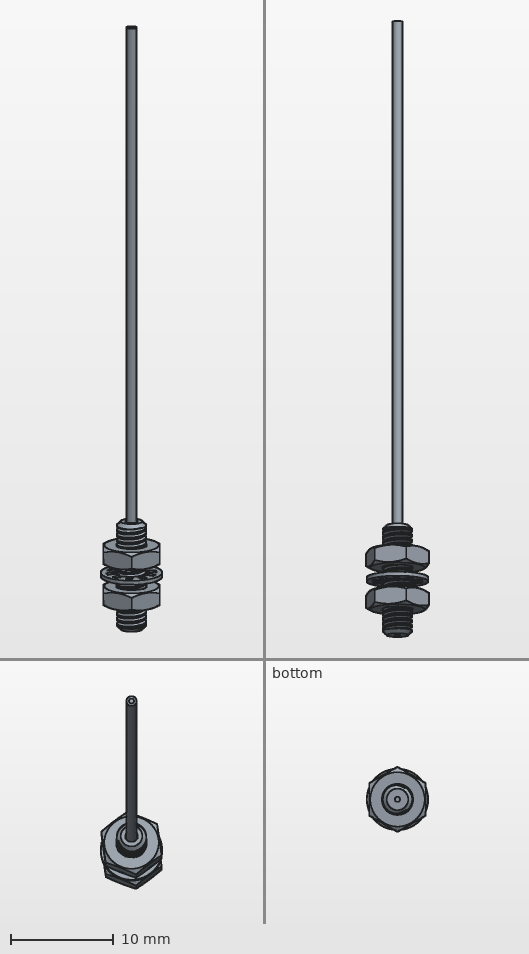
import cadquery as cq
import math

sleeve_top = 11.0
thread_diameter = 2.9
thread_pitch = 0.5
thread_depth = 0.307
flank_angle = 30.0
sleeve_chamfer = 0.4
spare_turns = 2

cable_top = 61.0
core_diameter = 0.5
core_tip = 0.1
jacket_diameter = 1.0
jacket_bottom = 3.0
jacket_bore_diameter = 1.2

nut_width = 5.5
nut_height = 1.8
nut_bore_diameter = 3.0
nut_face_diameter = 5.3
nut_chamfer_angle = 30.0

washer_diameter = 6.0
washer_bore_diameter = 3.0
washer_thickness = 0.4
tooth_count = 10
tooth_gap_width = 0.6
tooth_root_radius = 2.45

stack_gap = 0.975
lower_nut_seat = 2.65
washer_seat = lower_nut_seat + nut_height + stack_gap
upper_nut_seat = washer_seat + washer_thickness + stack_gap


def rod(diameter, bottom, top):
    return cq.Workplane("XY", origin=(0, 0, bottom)).circle(diameter / 2).extrude(top - bottom)


def helix_turn(radius, height):
    """One turn of a right-hand helix that starts on the +X side."""
    turn = cq.Wire.makeHelix(thread_pitch, thread_pitch, radius, center=cq.Vector(0, 0, height))
    return turn.Edges()[0]


def make_thread_bar():
    """A hollow bar with a V thread outside, longer than the sleeve at both ends."""
    crest_radius = thread_diameter / 2
    root_radius = crest_radius - thread_depth
    inner_radius = core_diameter / 4
    flank_rise = thread_depth * math.tan(math.radians(flank_angle))
    tooth = [
        (root_radius, 0),
        (crest_radius, flank_rise),
        (crest_radius, thread_pitch - flank_rise),
        (root_radius, thread_pitch),
    ]
    section = [(inner_radius, 0), *tooth, (inner_radius, thread_pitch)]
    turns = math.ceil(sleeve_top / thread_pitch) + 2 * spare_turns
    bottom = -spare_turns * thread_pitch
    top = bottom + turns * thread_pitch

    rule = cq.Face.makeRuledSurface
    faces = []
    for index in range(turns):
        base = bottom + index * thread_pitch
        edges = [helix_turn(radius, base + rise) for radius, rise in tooth]
        faces += [rule(below, above) for below, above in zip(edges, edges[1:])]
        faces.append(rule(helix_turn(inner_radius, base), helix_turn(inner_radius, base + thread_pitch)))
    for end in (bottom, top):
        faces.append(rule(helix_turn(inner_radius, end), helix_turn(root_radius, end)))
        corners = [cq.Vector(radius, 0, end + rise) for radius, rise in section]
        faces.append(cq.Face.makeFromWires(cq.Wire.makePolygon(corners, close=True)))
    return cq.Workplane(cq.Solid.makeSolid(cq.Shell.makeShell(faces)))


def make_sleeve():
    blank = (
        rod(thread_diameter, core_tip, sleeve_top)
        .faces("<Z or >Z")
        .chamfer(sleeve_chamfer)
        .cut(rod(core_diameter, core_tip, sleeve_top))
        .cut(rod(jacket_bore_diameter, jacket_bottom, sleeve_top))
    )
    threaded_zone = rod(2 * thread_diameter, core_tip + sleeve_chamfer, sleeve_top - sleeve_chamfer)
    cone_ends = blank.cut(threaded_zone)
    threaded_middle = make_thread_bar().intersect(blank.intersect(threaded_zone))
    return threaded_middle.union(cone_ends)


def make_nut(seat):
    """A hex nut with corners pointing along Y and chamfered on both faces."""
    corner_diameter = nut_width / math.cos(math.pi / 6)
    top = seat + nut_height
    hexagon = (
        cq.Workplane("XY", origin=(0, 0, seat))
        .polygon(6, corner_diameter)
        .extrude(nut_height)
        .rotate((0, 0, 0), (0, 0, 1), 30)
    )
    bore_radius = nut_bore_diameter / 2
    face_radius = nut_face_diameter / 2
    corner_radius = corner_diameter / 2
    drop = (corner_radius - face_radius) * math.tan(math.radians(nut_chamfer_angle))
    chamfered_ring = (
        cq.Workplane("XZ")
        .polyline([
            (bore_radius, seat),
            (face_radius, seat),
            (corner_radius, seat + drop),
            (corner_radius, top - drop),
            (face_radius, top),
            (bore_radius, top),
        ])
        .close()
        .revolve(360, (0, 0, 0), (0, 1, 0))
    )
    return hexagon.intersect(chamfered_ring)


def make_washer():
    top = washer_seat + washer_thickness
    ring = rod(washer_diameter, washer_seat, top).cut(rod(washer_bore_diameter, washer_seat, top))
    tooth_gaps = (
        cq.Workplane("XY", origin=(0, 0, washer_seat))
        .polarArray(tooth_root_radius / 2, 0, 360, tooth_count)
        .rect(tooth_root_radius, tooth_gap_width)
        .extrude(washer_thickness, combine=False)
    )
    return ring.cut(tooth_gaps)


def make_core():
    return rod(core_diameter, 0, cable_top)


def make_jacket():
    return rod(jacket_diameter, jacket_bottom, cable_top).cut(make_core())


sleeve = make_sleeve()
core = make_core()
jacket = make_jacket()
washer = make_washer()
nuts = [make_nut(seat) for seat in (lower_nut_seat, upper_nut_seat)]

result = cq.Compound.makeCompound(
    [sleeve.val(), core.val(), jacket.val(), washer.val(), *[nut.val() for nut in nuts]]
)